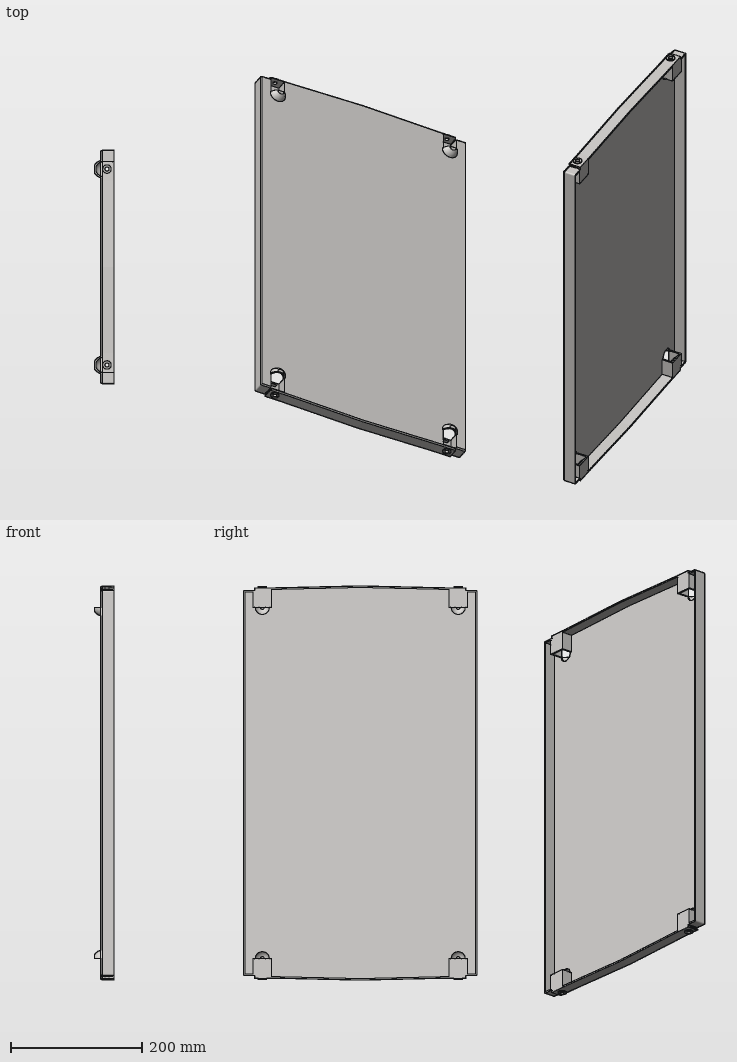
import cadquery as cq

total_depth = 30.34
panel_width = 356.86
panel_height = 601.86

dome_height = 9.8
dome_radius = 13.2
dome_tip_radius = 5.5
dome_bulge_radius = 16.0
wall = 2.5
corner_radius = 2.5
chamfer_inset = 1.5
chamfer_depth = 2.5

raised_half_width = 161.0
flat_inner_end = 131.5
shoulder_drop = 7.0
level_drop = 3.0

screw_y = 149.5
pocket_width = 23.0
pocket_depth = 18.0
pocket_bottom_z = 268.0
ramp_width = 10.5
ramp_reach = 5.0
ramp_height = 7.5
ramp_lip = 2.5

boss_diameter = 13.0
boss_height = 1.6
screw_hole_diameter = 6.0
screw_x = 9.5

panel_depth = total_depth - dome_height
front_x = -panel_depth / 2
back_x = panel_depth / 2
half_width = panel_width / 2
ridge_z = panel_height / 2
level_z = ridge_z - level_drop
shoulder_z = ridge_z - shoulder_drop
floor_x = front_x + pocket_depth
pocket_top_z = level_z - wall


def block(x_range, y_range, z_range):
    """Box between the given limits."""
    sizes = [high - low for low, high in (x_range, y_range, z_range)]
    corner = (x_range[0], y_range[0], z_range[0])
    return cq.Workplane("XY").box(*sizes, centered=False).translate(corner)


def outline(inset):
    """Panel outline on the front plane, moved inwards by the inset."""
    quarter = [
        (half_width - inset, shoulder_z - inset),
        (raised_half_width - inset, shoulder_z - inset),
        (raised_half_width - inset, level_z - inset),
        (flat_inner_end, level_z - inset),
    ]
    ridge = ridge_z - inset
    top = quarter + [(0, ridge)] + [(-y, z) for y, z in reversed(quarter)]
    bottom = [(-y, -z) for y, z in top]
    return cq.Workplane("YZ", origin=(front_x, 0, 0)).polyline(top + bottom).close()


def make_tray():
    """Thin tray with chamfered front edges, open at the back."""
    tray = outline(0).extrude(panel_depth)
    for y in (-half_width, half_width):
        for z in (-shoulder_z, shoulder_z):
            corner = cq.selectors.NearestToPointSelector((0, y, z))
            tray = tray.edges("|X").edges(corner).fillet(corner_radius)
    tray = tray.faces("<X").edges().chamfer(chamfer_inset, chamfer_depth)
    cavity = outline(wall).extrude(panel_depth).translate((wall, 0, 0))
    return tray.cut(cavity)


def half_dome(inset):
    """Rounded dome, moved inwards by the inset and cut off level with the open end of the pocket."""
    foot_radius = dome_radius - inset
    tip_x = front_x - dome_height + inset
    dome = (
        cq.Workplane("XY")
        .moveTo(front_x + wall, 0)
        .lineTo(front_x + wall, foot_radius)
        .lineTo(front_x, foot_radius)
        .radiusArc((tip_x, dome_tip_radius - inset), -(dome_bulge_radius - inset))
        .lineTo(tip_x, 0)
        .close()
        .revolve(360, (0, 0), (1, 0))
        .translate((0, screw_y, pocket_bottom_z))
    )
    lower_half = block(
        (front_x - dome_height, front_x + wall),
        (screw_y - dome_radius, screw_y + dome_radius),
        (pocket_bottom_z - dome_radius, pocket_bottom_z),
    )
    return dome.intersect(lower_half)


def pocket_body():
    """Walls and floor around the pocket, plus the dome and the screw boss, before hollowing."""
    y_outer = pocket_width / 2 + wall
    body = block(
        (front_x + wall, back_x),
        (screw_y - y_outer, screw_y + y_outer),
        (pocket_bottom_z, level_z),
    )
    body = body.intersect(outline(wall / 2).extrude(panel_depth))
    boss = (
        cq.Workplane("XY", origin=(front_x + screw_x, screw_y, level_z - wall))
        .circle(boss_diameter / 2)
        .extrude(wall + boss_height)
    )
    return body.union(half_dome(0)).union(boss)


def pocket_void():
    """Pocket, hollow of the dome and screw hole."""
    y_inner = pocket_width / 2
    pocket = block(
        (front_x, floor_x),
        (screw_y - y_inner, screw_y + y_inner),
        (pocket_bottom_z, pocket_top_z),
    )
    hole = (
        cq.Workplane("XY", origin=(front_x + screw_x, screw_y, pocket_bottom_z))
        .circle(screw_hole_diameter / 2)
        .extrude(ridge_z - pocket_bottom_z)
    )
    return pocket.union(half_dome(wall)).union(hole)


def pocket_ramp():
    """Block on the pocket floor that slopes back to the floor at the open end of the pocket."""
    tip_x = floor_x - ramp_reach
    top_z = pocket_bottom_z + ramp_height
    profile = [
        (floor_x, pocket_bottom_z),
        (tip_x, top_z - ramp_lip),
        (tip_x, top_z),
        (floor_x, top_z),
    ]
    ramp = cq.Workplane("XZ").polyline(profile).close().extrude(ramp_width / 2, both=True)
    return ramp.translate((0, screw_y, 0))


def at_four_corners(shape):
    """The shape at the +Y, +Z corner and its three mirror images."""
    pair = shape.union(shape.mirror("XZ"))
    return pair.union(pair.mirror("XY"))


panel = make_tray().union(at_four_corners(pocket_body()))
panel = panel.cut(at_four_corners(pocket_void()))
result = panel.union(at_four_corners(pocket_ramp()))